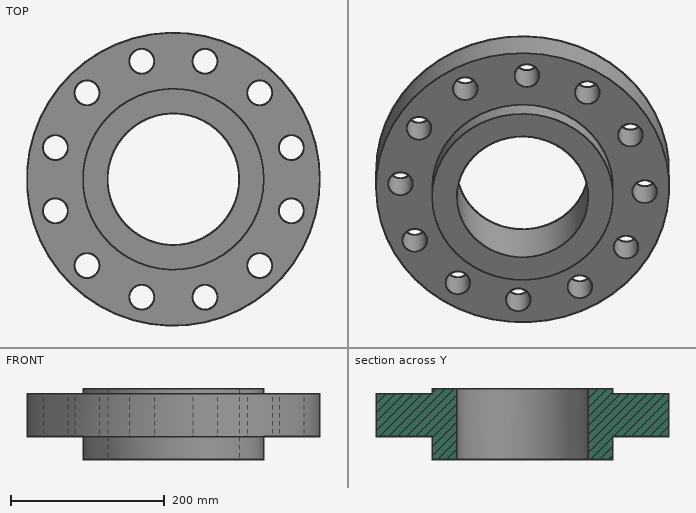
import cadquery as cq

flange_diameter = 381.0
total_height = 92.2
flange_thickness = 55.5
raised_face_height = 6.5
hub_height = total_height - flange_thickness - raised_face_height

hub_diameter = 235.0
bore_diameter = 170.5

bolt_count = 12
bolt_hole_diameter = 32.0
bolt_circle_diameter = 317.5
first_bolt_angle = 360 / bolt_count / 2


def make_body():
    """Flange disc around a central cylinder that forms the hub and raised face."""
    hub = cq.Workplane("XY").circle(hub_diameter / 2).extrude(total_height)
    flange = (
        cq.Workplane("XY")
        .workplane(offset=hub_height)
        .circle(flange_diameter / 2)
        .extrude(flange_thickness)
    )
    return hub.union(flange)


def make_bore():
    return cq.Workplane("XY").circle(bore_diameter / 2).extrude(total_height)


def make_bolt_holes():
    """Ring of cylinders that pass right through the flange."""
    return (
        cq.Workplane("XY")
        .polarArray(bolt_circle_diameter / 2, first_bolt_angle, 360, bolt_count)
        .circle(bolt_hole_diameter / 2)
        .extrude(total_height)
    )


result = make_body().cut(make_bore()).cut(make_bolt_holes())